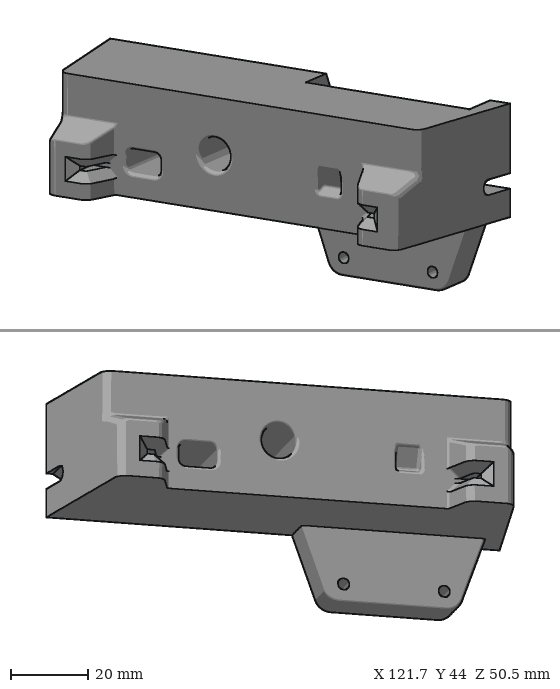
import cadquery as cq
import math

rear_width = 121.7
block_depth = 35.0
block_height = 30.5
side_angle = 10.0
corner_radius = 3.0
edge_radius = 1.0

total_depth = 44.0
foot_inner_x = 37.7
foot_top_z = 18.7
foot_draft = 20.0

slit_height = 1.2
slit_z = 7.7
slit_end_x = 44.8
slit_flare = 2.7

total_height = 50.5
plate_x = 29.8
plate_thickness = 10.0
plate_half_width = 24.7
plate_angle = 20.0
plate_corner_radius = 4.5
socket_clearance = 0.2
plate_hole_diameter = 3.0
plate_hole_spacing = 27.0
plate_hole_z = -15.0

round_hole_diameter = 9.3
round_hole_x = -7.7
round_hole_z = 15.1
window_width = 10.3
window_height = 6.5
window_corner_radius = 2.0
window_x = -29.3
window_z = 9.7
recess_size = 6.7
recess_corner_radius = 0.9
recess_x = 27.1
recess_z = 12.8
recess_depth = 1.8
recess_tilt = 22.0

channel_depth = 10.2
channel_mouth_height = 4.1
channel_floor_z = 7.7
channel_height = 0.9
channel_roof_angle = 30.0

foot_reach = total_depth - block_depth
foot_taper = foot_reach * math.tan(math.radians(foot_draft))


def side_x(depth):
    """Half width of the tapered outline at a distance in front of the rear face."""
    return rear_width / 2 - depth * math.tan(math.radians(side_angle))


def edges_at(body, points):
    """Edges whose middles lie at the given points."""
    tolerance = 0.4
    found = []
    for edge in body.edges().vals():
        if any((edge.Center() - cq.Vector(*point)).Length < tolerance for point in points):
            found.append(edge)
    return body.newObject(found)


def make_sharp_half():
    """The +X half of the block with its foot, all edges sharp."""
    half_outline = [
        (0, 0),
        (side_x(0), 0),
        (side_x(block_depth), -block_depth),
        (0, -block_depth),
    ]
    block = cq.Workplane("XY").polyline(half_outline).close().extrude(block_height)

    foot_outline = [
        (side_x(block_depth), -block_depth),
        (side_x(total_depth), -total_depth),
        (foot_inner_x + foot_taper, -total_depth),
        (foot_inner_x, -block_depth),
    ]
    foot_profile = [
        (-block_depth, 0),
        (-block_depth, foot_top_z),
        (-total_depth, foot_top_z - foot_taper),
        (-total_depth, 0),
    ]
    foot = cq.Workplane("XY").polyline(foot_outline).close().extrude(foot_top_z)
    slope = cq.Workplane("YZ").polyline(foot_profile).close().extrude(rear_width)
    return block.union(foot.intersect(slope))


def cut_slit(half):
    """Slit through the foot from its inner side back to the block, its mouth flared on the skin."""
    slit = (
        cq.Workplane("XY")
        .box(slit_end_x, foot_reach, slit_height, centered=(False, False, True))
        .translate((0, -total_depth, slit_z))
    )
    half = half.cut(slit)
    on_plane = 0.01
    skin_edges = []
    for edge in half.edges().vals():
        box = edge.BoundingBox()
        in_slit = max(abs(box.zmin - slit_z), abs(box.zmax - slit_z)) < slit_height / 2 + on_plane
        runs_inward = abs(box.xmin - slit_end_x) < on_plane and box.ylen > foot_reach / 2
        on_skin = box.ymin < -block_depth - on_plane
        if in_slit and on_skin and not runs_inward:
            skin_edges.append(edge)
    return half.newObject(skin_edges).chamfer(slit_flare)


def round_foot_root(half):
    """Concave fillet where the foot, above and below the slit, meets the front face."""
    flare_top = slit_z + slit_height / 2 + slit_flare
    flare_bottom = slit_z - slit_height / 2 - slit_flare
    flare_middle_x = foot_inner_x + slit_flare / 2
    root = [
        (foot_inner_x, -block_depth, flare_bottom / 2),
        (flare_middle_x, -block_depth, flare_bottom + slit_flare / 2),
        (flare_middle_x, -block_depth, flare_top - slit_flare / 2),
        (foot_inner_x, -block_depth, (flare_top + foot_top_z) / 2),
        ((foot_inner_x + side_x(block_depth)) / 2, -block_depth, foot_top_z),
    ]
    return edges_at(half, root).fillet(edge_radius)


def round_outer_corner(half):
    """One fillet that runs down the block corner, over the foot slope and down the foot corner."""
    near_plane = 0.07
    corner = []
    for edge in half.edges().vals():
        centre = edge.Center()
        on_side = abs(centre.x - side_x(-centre.y)) < near_plane
        on_front = centre.y < near_plane - block_depth
        upright = near_plane < centre.z < block_height - near_plane
        if on_side and on_front and upright:
            corner.append(edge)
    return half.newObject(corner).fillet(corner_radius)


def make_half():
    half = make_sharp_half()
    inner_x = foot_inner_x + foot_taper
    tip_z = foot_top_z - foot_taper
    half = edges_at(half, [(inner_x, -total_depth, tip_z / 2)]).fillet(corner_radius)
    half = cut_slit(half)
    half = round_foot_root(half)
    half = round_outer_corner(half)
    top_front = half.faces("<Y").edges(">Z")
    return top_front.fillet(edge_radius)


def plate_shape(half_width, depth, radius, top_z, thickness):
    """Tapered plate hanging down from top_z, from the rear face forward, lower corners rounded."""
    bottom_half_width = half_width - depth * math.tan(math.radians(plate_angle))
    outline = [
        (plate_x - half_width, top_z),
        (plate_x + half_width, top_z),
        (plate_x + bottom_half_width, top_z - depth),
        (plate_x - bottom_half_width, top_z - depth),
    ]
    plate = cq.Workplane("XZ").polyline(outline).close().extrude(thickness)
    return plate.edges("|Y and <Z").fillet(radius)


def make_plate():
    drop = total_height - block_height
    plate = plate_shape(plate_half_width, drop, plate_corner_radius, 0, plate_thickness)
    plate = plate.faces("<Y").edges("not >Z").fillet(edge_radius)
    holes = (
        cq.Workplane("XZ")
        .pushPoints([(plate_x + side * plate_hole_spacing / 2, plate_hole_z) for side in (-1, 1)])
        .circle(plate_hole_diameter / 2)
        .extrude(plate_thickness)
    )
    return plate.cut(holes)


def make_socket():
    return plate_shape(
        plate_half_width + socket_clearance,
        total_height - block_height + socket_clearance,
        plate_corner_radius + socket_clearance,
        block_height,
        plate_thickness + socket_clearance,
    )


def make_channel():
    """Channel from side to side with a rounded inner edge, its roof rising to a level mouth at both ends."""
    half_length = rear_width / 2
    mouth_top_z = channel_floor_z + channel_mouth_height
    roof_z = channel_floor_z + channel_height
    flare_length = (mouth_top_z - roof_z) / math.tan(math.radians(channel_roof_angle))
    flare_x = side_x(channel_depth)
    flat_x = flare_x - flare_length
    profile = [
        (-half_length, channel_floor_z),
        (-half_length, mouth_top_z),
        (-flare_x, mouth_top_z),
        (-flat_x, roof_z),
        (flat_x, roof_z),
        (flare_x, mouth_top_z),
        (half_length, mouth_top_z),
        (half_length, channel_floor_z),
    ]
    channel = cq.Workplane("XZ").polyline(profile).close().extrude(channel_depth)
    mouth_radius = channel_mouth_height / 2
    straight_depth = channel_depth - mouth_radius
    rounded_mouth = (
        cq.Workplane("YZ", origin=(-half_length, 0, channel_floor_z))
        .lineTo(-straight_depth, 0)
        .threePointArc((-channel_depth, mouth_radius), (-straight_depth, channel_mouth_height))
        .lineTo(0, channel_mouth_height)
        .close()
        .extrude(rear_width)
    )
    return channel.intersect(rounded_mouth)


def cut_front_openings(body):
    front = cq.Workplane("XZ", origin=(0, -block_depth, 0))
    round_hole = (
        front.center(round_hole_x, round_hole_z).circle(round_hole_diameter / 2).extrude(-block_depth)
    )
    window = (
        front.center(window_x, window_z)
        .rect(window_width, window_height)
        .extrude(-block_depth)
        .edges("|Y")
        .fillet(window_corner_radius)
    )
    recess = (
        cq.Workplane("XY")
        .box(recess_size, 2 * recess_depth, recess_size)
        .edges("|Y or >Y")
        .fillet(recess_corner_radius)
        .rotate((0, 0, 0), (1, 0, 0), recess_tilt)
        .translate((recess_x, -block_depth, recess_z))
    )
    body = body.cut(round_hole).cut(window).cut(recess)

    front_face = body.faces(
        cq.selectors.NearestToPointSelector((0, -block_depth, block_height / 2))
    )
    rims = []
    for edge in front_face.edges().vals():
        box = edge.BoundingBox()
        between_feet = max(abs(box.xmin), abs(box.xmax)) < foot_inner_x - edge_radius
        inside_outline = box.zmin > edge_radius and box.zmax < block_height - edge_radius
        if between_feet and inside_outline:
            rims.append(edge)
    return body.newObject(rims).fillet(edge_radius)


half = make_half()
body = half.union(half.mirror("YZ")).clean()
body = cut_front_openings(body)
body = body.union(make_plate())
body = body.cut(make_socket())
result = body.cut(make_channel())